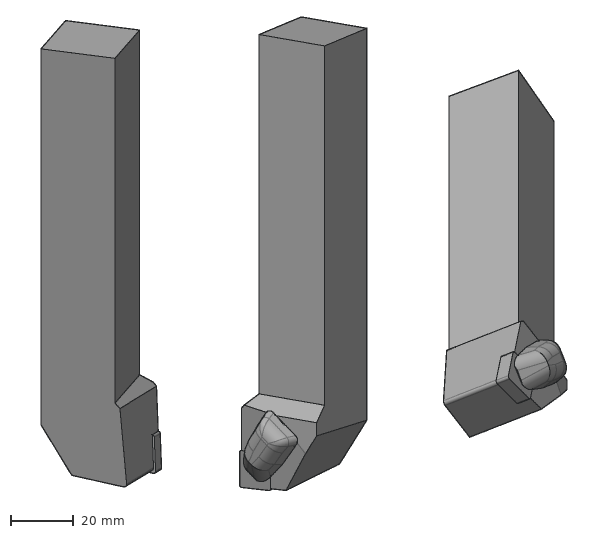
import cadquery as cq
import math


TOTAL_LENGTH = 151.4
SHANK_SIDE = 25.0
SHANK_LOW_END = 32.1
STOCK = 45.4

CORNER_X = 32.4
CORNER_Y = SHANK_SIDE
CORNER_Z = -0.08
TILT = 6.0
LEAD_ANGLE = 5.0

INSERT_EDGE = 12.9
INSERT_THICKNESS = 4.7
INSERT_NOSE_RADIUS = 0.8
INSERT_OVERHANG = 0.68

HEAD_TOP_Y = 29.7
HEAD_FLARE_LIMIT = 9.1
HEAD_CORNER_RADIUS = 1.0
RELIEF_ANGLE = 33.0
RELIEF_START_Z = 23.0

CLAMP_REAR_X = 11.5
CLAMP_BASE_Y = 25.7
CLAMP_REAR_Z = 26.0
CLAMP_TOP_Y = 35.9
CLAMP_HEADING = math.radians(37.0)
CLAMP_DRAFT = 17.5
CLAMP_HEEL = 4.5
CLAMP_WAIST = 13.6
CLAMP_FRONT = 26.0
CLAMP_REAR_HALF_WIDTH = 8.8
CLAMP_WAIST_HALF_WIDTH = 7.7
CLAMP_FRONT_HALF_WIDTH = 5.3
CLAMP_FLAT_END = 7.5
CLAMP_SLOPE_END = 18.2
CLAMP_SLOPE_DROP = 1.7
CLAMP_NOSE_DROP = 7.9
CLAMP_TOP_RADIUS = 4.8
CLAMP_CORNER_RADIUS = 2.1
CLAMP_EXCESS = 4.5
SHORT_RUN = 0.5

CLAMP_HEIGHT = CLAMP_TOP_Y - CLAMP_BASE_Y
CLAMP_FORWARD = (math.sin(CLAMP_HEADING), 0, -math.cos(CLAMP_HEADING))
CLAMP_SIDEWAYS = (math.cos(CLAMP_HEADING), 0, math.sin(CLAMP_HEADING))

TILT_SLOPE = math.tan(math.radians(TILT))
LEAD_COS = math.cos(math.radians(LEAD_ANGLE))
LEAD_SIN = math.sin(math.radians(LEAD_ANGLE))

RAKE_PLANE = cq.Plane(
    origin=(CORNER_X, CORNER_Y, CORNER_Z),
    xDir=(1, -TILT_SLOPE, 0),
    normal=(TILT_SLOPE, 1, -TILT_SLOPE),
)


def along_edges(up, back):
    """Rake-plane point at these lengths along the rising and the -X going cutting edge."""
    return (-up * LEAD_SIN - back * LEAD_COS, -up * LEAD_COS - back * LEAD_SIN)


def rhombus(start, end):
    """Rake-plane outline that covers start to end along both cutting edges."""
    corners = [
        along_edges(start, start),
        along_edges(end, start),
        along_edges(end, end),
        along_edges(start, end),
    ]
    return cq.Workplane(RAKE_PLANE).polyline(corners).close()


def slab(plane, outline, half_depth):
    """Prism of a closed outline, extruded to both sides of the plane."""
    return cq.Workplane(plane).polyline(outline).close().extrude(half_depth, both=True)


def make_insert():
    blank = rhombus(0, INSERT_EDGE).extrude(-INSERT_THICKNESS)
    thickness_edges = cq.selectors.ParallelDirSelector(RAKE_PLANE.zDir)
    return blank.edges(thickness_edges).fillet(INSERT_NOSE_RADIUS)


def make_shank():
    length = TOTAL_LENGTH - SHANK_LOW_END
    start = cq.Workplane("XY", origin=(0, 0, SHANK_LOW_END))
    return start.box(SHANK_SIDE, SHANK_SIDE, length, centered=False)


def flared_block(plane, flare, depth):
    """Block below the shank that widens at 45 degrees on one side."""
    wide = SHANK_SIDE + flare
    outline = [
        (0, SHANK_LOW_END),
        (SHANK_SIDE, SHANK_LOW_END),
        (wide, SHANK_LOW_END - flare),
        (wide, -STOCK),
        (0, -STOCK),
    ]
    return cq.Workplane(plane).polyline(outline).close().extrude(depth)


def tilted_sides():
    """Prism under the rake plane whose two sides follow the insert's cutting edges."""
    inset = INSERT_OVERHANG / math.cos(math.radians(2 * LEAD_ANGLE))
    prism = rhombus(inset, 2 * STOCK).extrude(-STOCK)
    corner_middle = RAKE_PLANE.toWorldCoords((*along_edges(inset, inset), -STOCK / 2))
    return prism.edges(cq.NearestToPointSelector(corner_middle)).fillet(HEAD_CORNER_RADIUS)


def relief_cutter():
    """Wedge that slants past the -X side, swept along the same tilt as the head's sides."""
    plane = cq.Plane((0, HEAD_TOP_Y, RELIEF_START_Z), RAKE_PLANE.xDir, RAKE_PLANE.zDir)
    across = STOCK * math.sin(math.radians(RELIEF_ANGLE))
    down = STOCK * math.cos(math.radians(RELIEF_ANGLE))
    return slab(plane, [(-across, -down), (across, down), (-across, down)], STOCK)


def make_head():
    flared_in_x = flared_block("XZ", HEAD_FLARE_LIMIT, -STOCK)
    flared_in_y = flared_block("YZ", HEAD_TOP_Y - SHANK_SIDE, STOCK)
    return flared_in_x.intersect(flared_in_y).intersect(tilted_sides()).cut(relief_cutter())


def clamp_frame(normal):
    """Plane at the middle of the clamp's rear edge, with local x toward the nose."""
    return cq.Plane((CLAMP_REAR_X, CLAMP_BASE_Y, CLAMP_REAR_Z), CLAMP_FORWARD, normal)


CLAMP_PROFILE_PLANE = clamp_frame(CLAMP_SIDEWAYS)


def round_edges(body, radius, is_rounded):
    """Round the edges that lie on one side of the clamp and whose two local ends pass the test."""
    chosen = []
    for edge in body.edges().vals():
        start = CLAMP_PROFILE_PLANE.toLocalCoords(edge.startPoint())
        end = CLAMP_PROFILE_PLANE.toLocalCoords(edge.endPoint())
        if start.z * end.z > 0 and is_rounded(start, end):
            chosen.append(edge)
    return body.newObject(chosen).fillet(radius)


def clamp_blank():
    """Drafted bar that is wide at the rear, narrows to the waist and narrows faster to the nose."""
    rear_spread = (CLAMP_REAR_HALF_WIDTH - CLAMP_WAIST_HALF_WIDTH) / CLAMP_WAIST
    nose_spread = (CLAMP_WAIST_HALF_WIDTH - CLAMP_FRONT_HALF_WIDTH) / (CLAMP_FRONT - CLAMP_WAIST)
    rear_excess = 2 * CLAMP_EXCESS
    one_side = [
        (-rear_excess, CLAMP_REAR_HALF_WIDTH + rear_spread * rear_excess),
        (CLAMP_WAIST, CLAMP_WAIST_HALF_WIDTH),
        (CLAMP_FRONT + CLAMP_EXCESS, CLAMP_FRONT_HALF_WIDTH - nose_spread * CLAMP_EXCESS),
    ]
    other_side = [(length, -width) for length, width in reversed(one_side)]
    plan = cq.Workplane(clamp_frame((0, 1, 0))).polyline(one_side + other_side).close()
    return plan.extrude(CLAMP_HEIGHT, taper=CLAMP_DRAFT)


def clamp_top():
    """Lengthwise shape: flat at the rear, then a gentle slope, then a steep nose."""
    slope_end_height = CLAMP_HEIGHT - CLAMP_SLOPE_DROP
    outline = [
        (-CLAMP_EXCESS, 0),
        (-CLAMP_EXCESS, CLAMP_HEIGHT),
        (CLAMP_FLAT_END, CLAMP_HEIGHT),
        (CLAMP_SLOPE_END, slope_end_height),
        (CLAMP_FRONT, slope_end_height - CLAMP_NOSE_DROP),
        (CLAMP_FRONT, 0),
    ]
    return slab(CLAMP_PROFILE_PLANE, outline, STOCK)


def clamp_rear():
    """Lengthwise shape with a drafted rear face that rounds into the top, and a heel on the head."""
    draft = math.radians(CLAMP_DRAFT)
    half_turn = (math.pi / 2 - draft) / 2
    seat_height = HEAD_TOP_Y - CLAMP_BASE_Y
    arc_start_height = CLAMP_HEIGHT - CLAMP_TOP_RADIUS * (1 - math.sin(draft))
    arc_start_length = arc_start_height * math.tan(draft)
    arc_end_length = arc_start_length + CLAMP_TOP_RADIUS * math.cos(draft)
    arc_middle = (
        arc_end_length - CLAMP_TOP_RADIUS * math.sin(half_turn),
        CLAMP_HEIGHT - CLAMP_TOP_RADIUS * (1 - math.cos(half_turn)),
    )
    return (
        cq.Workplane(CLAMP_PROFILE_PLANE)
        .moveTo(CLAMP_HEEL, 0)
        .lineTo(CLAMP_HEEL, seat_height)
        .lineTo(seat_height * math.tan(draft), seat_height)
        .lineTo(arc_start_length, arc_start_height)
        .threePointArc(arc_middle, (arc_end_length, CLAMP_HEIGHT))
        .lineTo(CLAMP_FRONT, CLAMP_HEIGHT)
        .lineTo(CLAMP_FRONT, 0)
        .close()
        .extrude(STOCK, both=True)
    )


def is_side_top_edge(start, end):
    runs_lengthwise = abs(start.x - end.x) > SHORT_RUN
    return runs_lengthwise and min(start.y, end.y) > SHORT_RUN


def is_rear_corner_edge(start, end):
    runs_lengthwise = abs(start.x - end.x) > SHORT_RUN
    rises = abs(start.y - end.y) > SHORT_RUN
    return runs_lengthwise and rises and max(start.x, end.x) < CLAMP_FLAT_END


def make_clamp():
    body = clamp_blank().intersect(clamp_top())
    body = round_edges(body, CLAMP_TOP_RADIUS, is_side_top_edge)
    body = body.intersect(clamp_rear())
    return round_edges(body, CLAMP_CORNER_RADIUS, is_rear_corner_edge)


insert = make_insert()
holder = make_shank().union(make_head()).union(make_clamp()).cut(insert)

result = cq.Compound.makeCompound([*holder.solids().vals(), *insert.solids().vals()])